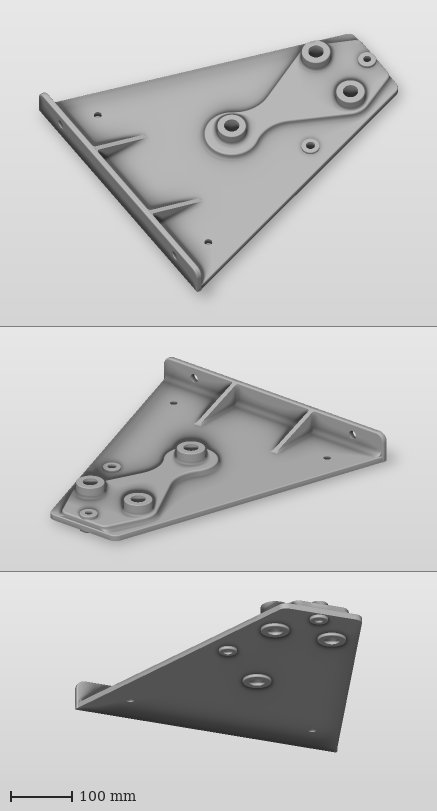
import cadquery as cq
import math

length = 510.5
plate_thickness = 10.0
plate_tip_half_width = 69.5
plate_root_half_width = 228.0
plate_corner_radius = 15.0
plate_edge_round = 2.0

flange_width = 460.0
flange_thickness = 10.0
flange_height = 50.0
flange_corner_radius = 15.0
flange_edge_round = 2.5
root_fillet = 9.5

rib_x = 80.0
rib_thickness = 8.0
rib_toe_y = 110.0
rib_height = 49.5
rib_fillet = 4.5

pad_top = 20.0
pad_end_y = length - plate_edge_round
pad_low_radius = 45.0
pad_high_radius = 36.5
pad_half_width = 80.0
pad_neck_half_width = 24.5
pad_neck_radius = 63.5
pad_shoulder_angle = math.radians(25)
pad_corner_radius = 15.0
pad_edge_round = 3.0
pad_foot_fillet = 5.0

boss_bottom = -5.0
boss_edge_round = 1.5
large_boss_diameter = 47.0
large_boss_bore = 25.0
large_boss_top = 40.0
large_boss_fillet = 4.0
low_boss = (0, 225.0)
high_bosses = [(-50.0, 425.5), (50.0, 425.5)]
small_boss_diameter = 30.0
tip_boss = (0, 492.5)
tip_boss_bore = 13.0
tip_boss_top = 25.0
side_boss = (90.0, 319.5)
side_boss_bore = 15.0
side_boss_top = 14.5

plate_hole_diameter = 13.0
plate_hole_x = 160.0
plate_hole_y = 70.0
flange_hole_diameter = 15.0
flange_hole_x = 165.5
flange_hole_z = 30.0

select_margin = 0.5


def trapezoid(inset, height):
    """Plate outline moved inwards by inset, with rounded tip corners."""
    slope = math.atan2(plate_root_half_width - plate_tip_half_width, length - flange_thickness)
    end_y = length - inset
    side_shift = inset / math.cos(slope)
    root = plate_root_half_width - side_shift
    tip = plate_tip_half_width - side_shift + inset * math.tan(slope)
    corners = [(-root, flange_thickness), (root, flange_thickness), (tip, end_y), (-tip, end_y)]
    return (
        cq.Workplane("XY").polyline(corners).close().extrude(height)
        .edges("|Z and >Y").fillet(plate_corner_radius - inset)
    )


def pad_outline():
    """Bottle-shaped outline made of tangent arcs and lines, mirrored about x = 0."""
    low_y = low_boss[1]
    high_x = pad_half_width - pad_high_radius
    high_y = high_bosses[1][1]

    neck_x = pad_neck_half_width + pad_neck_radius
    centre_distance = pad_low_radius + pad_neck_radius
    neck_y = low_y + math.sqrt(centre_distance**2 - neck_x**2)
    share = pad_low_radius / centre_distance
    low_join = (neck_x * share, low_y + (neck_y - low_y) * share)

    dx = neck_x - high_x
    dy = high_y - neck_y
    flank_angle = math.asin((pad_neck_radius + pad_high_radius) / math.hypot(dx, dy)) - math.atan2(dx, dy)

    def on_neck(angle):
        return (neck_x - pad_neck_radius * math.cos(angle), neck_y + pad_neck_radius * math.sin(angle))

    def on_high(angle):
        return (high_x + pad_high_radius * math.cos(angle), high_y + pad_high_radius * math.sin(angle))

    shoulder = on_high(pad_shoulder_angle)
    end_x = shoulder[0] - (pad_end_y - shoulder[1]) * math.tan(pad_shoulder_angle)

    def mirrored(point):
        return (-point[0], point[1])

    return (
        cq.Workplane("XY").moveTo(*mirrored(low_join))
        .threePointArc((0, low_y - pad_low_radius), low_join)
        .threePointArc(on_neck(0), on_neck(flank_angle))
        .lineTo(*on_high(-flank_angle))
        .threePointArc(on_high(0), shoulder)
        .lineTo(end_x, pad_end_y)
        .lineTo(-end_x, pad_end_y)
        .lineTo(*mirrored(shoulder))
        .threePointArc(mirrored(on_high(0)), mirrored(on_high(-flank_angle)))
        .lineTo(*mirrored(on_neck(flank_angle)))
        .threePointArc(mirrored(on_neck(0)), mirrored(low_join))
        .close()
    )


def plate_with_pad():
    """Pad blended into an oversize slab, then trimmed to the edge-rounded plate."""
    slab = cq.Workplane("XY").box(2 * length, 2 * length, plate_thickness, centered=(True, False, False))
    pad = pad_outline().extrude(pad_top).edges("|Z and >Y").fillet(pad_corner_radius)
    pad = pad.faces(">Z").edges().fillet(pad_edge_round)
    foot_region = cq.selectors.BoxSelector(
        (-length / 2, select_margin, plate_thickness - select_margin),
        (length / 2, length, plate_thickness + select_margin),
        boundingbox=True,
    )
    blended = slab.union(pad).edges(foot_region).fillet(pad_foot_fillet)
    plate = trapezoid(0, plate_thickness).faces(">Z").edges("not <Y").fillet(plate_edge_round)
    envelope = plate.union(trapezoid(plate_edge_round, pad_top))
    return blended.intersect(envelope)


def flange():
    body = (
        cq.Workplane("XY")
        .box(flange_width, flange_thickness, flange_height, centered=(True, False, False))
        .edges("|Y and >Z").fillet(flange_corner_radius)
    )
    body = body.faces("<Y").edges().fillet(flange_edge_round)
    return body.faces(">Y").edges("not <Z").fillet(flange_edge_round)


def root_strip():
    """Full-width concave strip filling the corner between the flange and the plate."""
    y0 = flange_thickness
    z0 = plate_thickness
    bulge = root_fillet * (1 - math.sqrt(0.5))
    return (
        cq.Workplane("YZ").moveTo(y0, 0)
        .lineTo(y0, z0 + root_fillet)
        .threePointArc((y0 + bulge, z0 + bulge), (y0 + root_fillet, z0))
        .lineTo(y0 + root_fillet, 0)
        .close()
        .extrude(flange_width / 2, both=True)
    )


def rib(x):
    """Wall blended into an oversize corner, then cut to a triangle with flared sides."""
    reach = 2 * rib_toe_y
    spread = (True, False, False)
    floor = cq.Workplane("XY").box(flange_width, reach, plate_thickness, centered=spread)
    back = cq.Workplane("XY").box(flange_width, flange_thickness, reach, centered=spread)
    wall = cq.Workplane("XY").box(rib_thickness, reach, reach, centered=spread)
    select_x = rib_thickness / 2 + select_margin
    foot_edges = cq.selectors.BoxSelector(
        (-select_x, flange_thickness - select_margin, plate_thickness - select_margin),
        (select_x, reach - select_margin, reach - select_margin),
    )
    corner = floor.union(back).union(root_strip()).union(wall).edges(foot_edges).fillet(rib_fillet)

    heel_y = flange_thickness - flange_edge_round
    wedge = (
        cq.Workplane("YZ").moveTo(heel_y, 0)
        .lineTo(heel_y, rib_height)
        .lineTo(rib_toe_y, plate_thickness)
        .lineTo(rib_toe_y, 0)
        .close()
        .extrude(rib_thickness / 2 + rib_fillet, both=True)
    )
    return corner.intersect(wedge).translate((x, 0, 0))


def boss(centre, diameter, top):
    body = cq.Workplane("XY").circle(diameter / 2).extrude(top - boss_bottom)
    body = body.faces("<Z or >Z").edges().fillet(boss_edge_round)
    return body.translate((*centre, boss_bottom))


def boss_foot(centre):
    """Concave ring where a large boss rises from the pad, carried down into the plate."""
    radius = large_boss_diameter / 2
    mouth = radius + large_boss_fillet
    bulge = large_boss_fillet * (1 - math.sqrt(0.5))
    ring = (
        cq.Workplane("XZ").moveTo(0, plate_thickness / 2)
        .lineTo(mouth, plate_thickness / 2)
        .lineTo(mouth, pad_top)
        .threePointArc((radius + bulge, pad_top + bulge), (radius, pad_top + large_boss_fillet))
        .lineTo(0, pad_top + large_boss_fillet)
        .close()
        .revolve(360, (0, 0, 0), (0, 1, 0))
    )
    return ring.translate((*centre, 0))


def bore(centre, diameter):
    drill = cq.Workplane("XY").circle(diameter / 2).extrude(2 * flange_height, both=True)
    return drill.translate((*centre, 0))


root_blend = root_strip().intersect(trapezoid(plate_edge_round, flange_height))
result = plate_with_pad().union(flange()).union(root_blend)
for x in (-rib_x, rib_x):
    result = result.union(rib(x))

large_bosses = [low_boss, *high_bosses]
for centre in large_bosses:
    result = result.union(boss_foot(centre)).union(boss(centre, large_boss_diameter, large_boss_top))
result = result.union(boss(tip_boss, small_boss_diameter, tip_boss_top))
result = result.union(boss(side_boss, small_boss_diameter, side_boss_top))
for centre in large_bosses:
    result = result.cut(bore(centre, large_boss_bore))
result = result.cut(bore(tip_boss, tip_boss_bore)).cut(bore(side_boss, side_boss_bore))

for side in (-1, 1):
    result = result.cut(bore((side * plate_hole_x, plate_hole_y), plate_hole_diameter))
    flange_hole = (
        cq.Workplane("XZ").center(side * flange_hole_x, flange_hole_z)
        .circle(flange_hole_diameter / 2).extrude(flange_thickness + root_fillet, both=True)
    )
    result = result.cut(flange_hole)